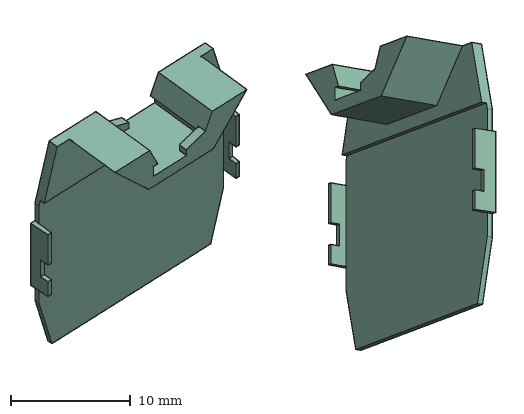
import cadquery as cq

height = 22.5
depth = 6.6
tab_half_width = 11.0

plate_thickness = 0.52
plate_half_width = 10.5
bottom_half_width = 9.05
lower_corner_z = 5.5
upper_corner_z = 16.5
top_half_width = 8.89
rim_thickness = 1.0
rim_bottom_z = 17.0

tab_bottom_z = 7.5
tab_top_z = 14.5
tab_reach = 2.02
tab_tip_outer_offset = 0.11
tab_inner_half_width = 10.5
tab_notch_start_x = 1.17
tab_notch_bottom_z = 9.18
tab_notch_top_z = 11.05

block_half_width = 7.52
block_bottom_half_width = 3.7
block_bottom_z = 18.18
channel_top_half_width = 3.55
channel_neck_half_width = 2.63
channel_floor_half_width = 3.13
channel_neck_z = 20.4
channel_floor_z = 19.33

lip_thickness = 0.85
lip_root_y = 2.81
lip_root_z = 20.75
lip_tip_y = 0.6
lip_tip_z = 19.98


def extrude_along_x(points, length, start_x=0.0):
    """Extrude a closed (Y, Z) outline from start_x towards +X."""
    return cq.Workplane("YZ", origin=(start_x, 0, 0)).polyline(points).close().extrude(length)


def symmetric_outline(half_points):
    """Complete an outline from its +Y half, listed from bottom to top."""
    return half_points + [(-y, z) for y, z in reversed(half_points)]


def make_plate():
    outline = symmetric_outline([
        (bottom_half_width, 0),
        (plate_half_width, lower_corner_z),
        (plate_half_width, upper_corner_z),
        (top_half_width, height),
    ])
    thick_plate = extrude_along_x(outline, rim_thickness)
    lower_relief = cq.Workplane("XY").box(
        rim_thickness - plate_thickness, 2 * plate_half_width, rim_bottom_z, centered=(False, True, False)
    ).translate((plate_thickness, 0, 0))
    return thick_plate.cut(lower_relief)


def make_block():
    outline = symmetric_outline([
        (block_bottom_half_width, block_bottom_z),
        (block_half_width, height),
    ])
    return extrude_along_x(outline, depth)


def make_channel():
    outline = symmetric_outline([
        (channel_floor_half_width, channel_floor_z),
        (channel_floor_half_width, channel_neck_z),
        (channel_neck_half_width, channel_neck_z),
        (channel_top_half_width, height),
    ])
    return extrude_along_x(outline, depth)


def make_lip(side, start_x):
    """Lip above the channel floor; side is +1 for the +Y wall, -1 for the -Y wall."""
    outline = [
        (side * channel_floor_half_width, channel_floor_z),
        (side * channel_floor_half_width, lip_root_z),
        (side * lip_root_y, lip_root_z),
        (side * lip_tip_y, lip_tip_z),
        (side * lip_tip_y, channel_floor_z),
    ]
    return extrude_along_x(outline, lip_thickness, start_x)


def make_tab():
    """Tapered, notched tab on the +Y edge, running back into the plate."""
    outline = [
        (0, plate_half_width - plate_thickness),
        (0, tab_half_width),
        (tab_reach, tab_half_width - tab_tip_outer_offset),
        (tab_reach, tab_inner_half_width),
        (plate_thickness, tab_inner_half_width),
        (plate_thickness, plate_half_width - plate_thickness),
    ]
    tab = (
        cq.Workplane("XY", origin=(0, 0, tab_bottom_z))
        .polyline(outline).close().extrude(tab_top_z - tab_bottom_z)
    )
    notch = cq.Workplane("XY").box(
        tab_reach - tab_notch_start_x,
        tab_half_width,
        tab_notch_top_z - tab_notch_bottom_z,
        centered=False,
    ).translate((tab_notch_start_x, tab_half_width / 2, tab_notch_bottom_z))
    return tab.cut(notch)


body = make_plate().union(make_block()).cut(make_channel())
body = body.union(make_lip(-1, 0)).union(make_lip(1, depth - lip_thickness))

tab = make_tab()
result = body.union(tab).union(tab.mirror("XZ"))